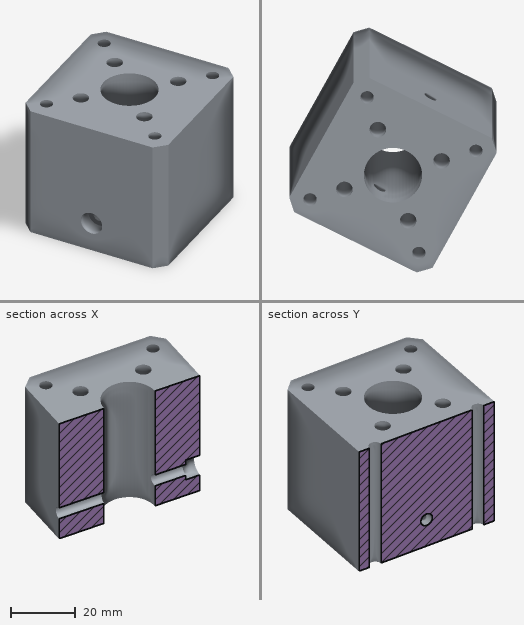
import cadquery as cq

width = 50.0
height = 45.0
corner_chamfer = 3.6

bore_diameter = 18.0
corner_hole_diameter = 4.1
corner_hole_spacing = 38.0
inner_hole_diameter = 5.1
inner_hole_spacing = 22.25

cross_hole_diameter = 4.1
cross_hole_height = 10.0
counterbore_diameter = 7.5
counterbore_depth = 5.0


def square_pattern_holes(body, spacing, diameter):
    """Drill four through holes at the corners of a centred square."""
    return (
        body.faces(">Z")
        .workplane(origin=(0, 0, height))
        .rect(spacing, spacing, forConstruction=True)
        .vertices()
        .hole(diameter)
    )


def front_cylinder(diameter, depth):
    """Cylinder running into the block from the front face at the cross hole."""
    return cq.Solid.makeCylinder(
        diameter / 2,
        depth,
        cq.Vector(0, -width / 2, cross_hole_height),
        cq.Vector(0, 1, 0),
    )


block = (
    cq.Workplane("XY")
    .box(width, width, height, centered=(True, True, False))
    .edges("|Z")
    .chamfer(corner_chamfer)
)

block = block.faces(">Z").workplane(origin=(0, 0, height)).hole(bore_diameter)
block = square_pattern_holes(block, corner_hole_spacing, corner_hole_diameter)
block = square_pattern_holes(block, inner_hole_spacing, inner_hole_diameter)

block = block.cut(front_cylinder(cross_hole_diameter, width))
result = block.cut(front_cylinder(counterbore_diameter, counterbore_depth))